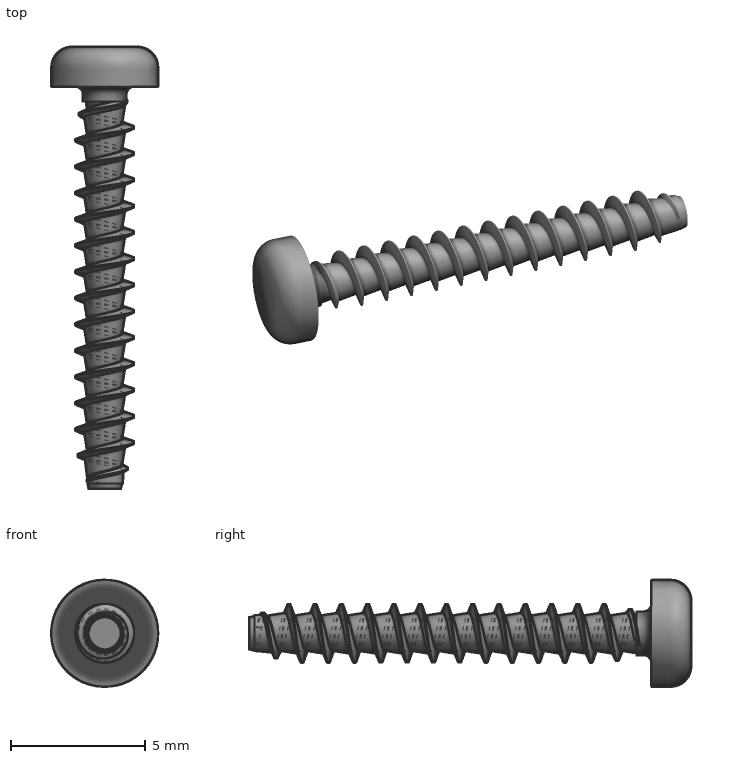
import cadquery as cq
import math


HEAD_RADIUS = 2.0
HEAD_HEIGHT = 1.5
CROWN_RADIUS = 0.8
RIM_RADIUS = 0.05

SHANK_LENGTH = 15.0
NECK_RADIUS = 0.82
NECK_LENGTH = 0.55
NECK_FILLET = 0.26
CORE_RADIUS = 0.65
TIP_RADIUS = 0.6
TIP_CHAMFER_LENGTH = 0.2

PITCH = 0.98
CREST_RADIUS = 1.1
CREST_HALF_WIDTH = 0.02
ROOT_RADIUS = 0.765
ROOT_HALF_WIDTH = 0.15
RAMP_END_RADIUS = 0.66
BURIED_RADIUS = 0.61
BURIED_OFFSET = 0.17
TURN_GAP = 0.01
HIDDEN_CREST_RADIUS = 0.78
FADED_CREST_RADIUS = 0.72
FADED_ROOT_RADIUS = 0.68
FADED_ROOT_HALF_WIDTH = 0.04

LEAD_IN_TURNS = 1.0
FADE_IN_TURNS = 1.25
FULL_TURNS = 12.25
FADE_OUT_TURNS = 1.2
FIRST_FULL_CREST_Z = 1.51


def make_head():
    """Cylinder with a rounded crown and a slightly rounded bearing rim."""
    head = cq.Workplane("XY").circle(HEAD_RADIUS).extrude(-HEAD_HEIGHT)
    head = head.faces("<Z").edges().fillet(CROWN_RADIUS)
    return head.faces(">Z").edges().fillet(RIM_RADIUS)


def make_shank():
    """Neck with a fillet under the head, and the plain core down to the tip."""
    overlap = HEAD_HEIGHT / 2
    fillet_mid = NECK_FILLET * (1 - math.sqrt(0.5))
    return (
        cq.Workplane("XZ")
        .moveTo(0, -overlap)
        .lineTo(NECK_RADIUS + NECK_FILLET, -overlap)
        .lineTo(NECK_RADIUS + NECK_FILLET, 0)
        .threePointArc((NECK_RADIUS + fillet_mid, fillet_mid), (NECK_RADIUS, NECK_FILLET))
        .lineTo(NECK_RADIUS, NECK_LENGTH)
        .lineTo(CORE_RADIUS, NECK_LENGTH)
        .lineTo(CORE_RADIUS, SHANK_LENGTH)
        .lineTo(0, SHANK_LENGTH)
        .close()
        .revolve(360, (0, 0, 0), (0, 1, 0))
    )


def helix_edge(start, end, turns, start_angle):
    """One right-handed helical edge between two (z, radius) ends."""
    start_z, start_radius = start
    end_z, end_radius = end
    height = end_z - start_z
    slope = math.atan2(end_radius - start_radius, height)
    length = height / math.cos(slope)
    cone_angle = math.degrees(slope) if slope else 360
    wire = cq.Wire.makeHelix(length / turns, length, start_radius, angle=cone_angle)
    wire = wire.rotate(cq.Vector(0, 0, 0), cq.Vector(0, 0, 1), start_angle)
    return wire.translate(cq.Vector(0, 0, start_z)).Edges()[0]


def thread_section(crest_radius, root_radius=ROOT_RADIUS, root_half_width=ROOT_HALF_WIDTH):
    """Corners of the thread section as (axial offset from the crest, radius)."""
    flank_slope = (BURIED_OFFSET - CREST_HALF_WIDTH) / (CREST_RADIUS - BURIED_RADIUS)
    flank_shift = (RAMP_END_RADIUS - BURIED_RADIUS) * flank_slope
    ramp_foot = PITCH - BURIED_OFFSET - TURN_GAP
    return (
        (-BURIED_OFFSET, BURIED_RADIUS),
        (-CREST_HALF_WIDTH, crest_radius),
        (CREST_HALF_WIDTH, crest_radius),
        (root_half_width, root_radius),
        (ramp_foot + flank_shift, RAMP_END_RADIUS),
        (ramp_foot, BURIED_RADIUS),
    )


def thread_rails():
    """For each corner of the section, the helical edges it follows from head to tip."""
    hidden = thread_section(HIDDEN_CREST_RADIUS)
    full = thread_section(CREST_RADIUS)
    faded = thread_section(FADED_CREST_RADIUS, FADED_ROOT_RADIUS, FADED_ROOT_HALF_WIDTH)
    stretches = (
        (hidden, hidden, LEAD_IN_TURNS),
        (hidden, full, FADE_IN_TURNS),
        (full, full, FULL_TURNS),
        (full, faded, FADE_OUT_TURNS),
    )
    rails = [[] for _ in full]
    turn = -(LEAD_IN_TURNS + FADE_IN_TURNS)
    for start_section, end_section, turns in stretches:
        start_z = FIRST_FULL_CREST_Z + turn * PITCH
        end_z = start_z + turns * PITCH
        for rail, start, end in zip(rails, start_section, end_section):
            start_end = (start_z + start[0], start[1])
            finish_end = (end_z + end[0], end[1])
            rail.append(helix_edge(start_end, finish_end, turns, 360 * turn))
        turn += turns
    return rails


def make_thread():
    """Solid bounded by ruled faces between helical edges, with a flat cap at each end."""
    rails = thread_rails()
    faces = []
    for rail, next_rail in zip(rails, rails[1:] + rails[:1]):
        for edge, next_edge in zip(rail, next_rail):
            faces.append(cq.Face.makeRuledSurface(edge, next_edge))
    first_section = [rail[0].startPoint() for rail in rails]
    last_section = [rail[-1].endPoint() for rail in rails]
    for section in (first_section, last_section):
        faces.append(cq.Face.makeFromWires(cq.Wire.makePolygon(section, close=True)))
    return cq.Workplane(cq.Solid.makeSolid(cq.Shell.makeShell(faces)))


def make_tip_trim():
    """Ring that bevels the tip, with a disc beyond it that ends the thread flush."""
    outer = CREST_RADIUS * 2
    return (
        cq.Workplane("XZ")
        .moveTo(CORE_RADIUS, SHANK_LENGTH - TIP_CHAMFER_LENGTH)
        .lineTo(outer, SHANK_LENGTH - TIP_CHAMFER_LENGTH)
        .lineTo(outer, SHANK_LENGTH + 2 * PITCH)
        .lineTo(0, SHANK_LENGTH + 2 * PITCH)
        .lineTo(0, SHANK_LENGTH)
        .lineTo(TIP_RADIUS, SHANK_LENGTH)
        .close()
        .revolve(360, (0, 0, 0), (0, 1, 0))
    )


screw = make_shank().union(make_thread(), clean=False)
screw = screw.cut(make_tip_trim(), clean=False).union(make_head(), clean=False)
result = screw.rotate((0, 0, 0), (1, 0, 0), 90).solids()